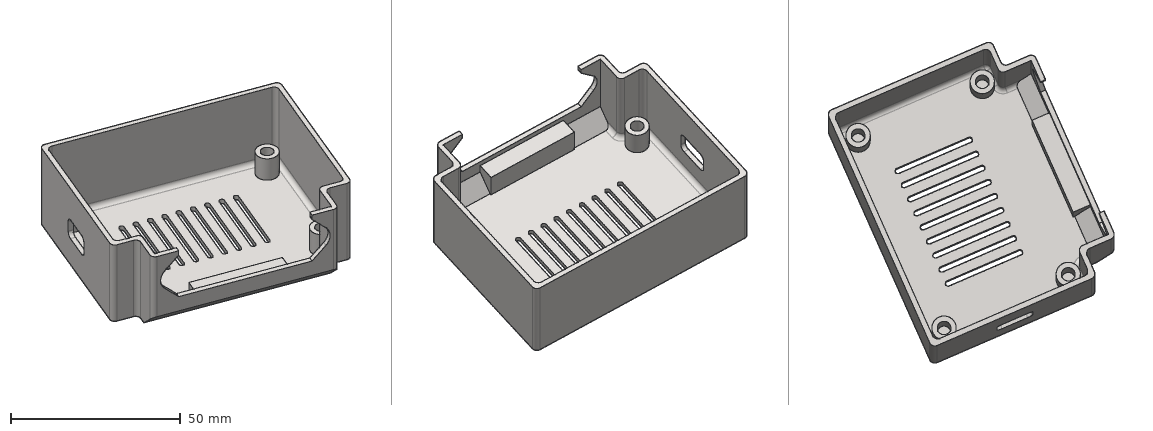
import cadquery as cq
import math

LENGTH_X = 63.0
WIDTH_Y = 77.2
HEIGHT = 28.4
BODY_X = 53.0
BAY_WIDTH = 60.1
WALL = 1.6
FLOOR = WALL
CORNER_RADIUS = 1.6
FLOOR_FILLET = 1.6
BAY_CHAMFER = 6.0

POST_DIAMETER = 7.2
POST_BORE = 4.0
POST_TOP = 9.6
POST_INSET_X = 7.0
POST_INSET_Y = 7.1
POST_PITCH_X = 40.0

BAR_LENGTH = 30.1
BAR_DEPTH = 5.55
BAR_TOP = POST_TOP

SLOT_COUNT = 9
SLOT_LENGTH = 24.7
SLOT_WIDTH = 1.6
SLOT_SPAN = 36.8
SLOT_CENTRE_X = 25.6

WINDOW_WIDTH = 11.5
WINDOW_HEIGHT = 6.95
WINDOW_RADIUS = 1.6
WINDOW_CENTRE_X = 26.7
WINDOW_CENTRE_Z = 13.2

CUTOUT_NECK_WIDTH = 42.9
CUTOUT_BOTTOM = 11.35
CUTOUT_FLANK = 7.7
CUTOUT_RADIUS = 4.6


def stepped_prism(inset, base_z):
    """Prism over the stepped outline, offset inwards by inset, from base_z to the rim."""
    x_min = inset
    x_step = BODY_X - inset
    x_max = LENGTH_X - inset
    y_body = WIDTH_Y / 2 - inset
    y_bay = BAY_WIDTH / 2 - inset
    outline = [
        (x_min, -y_body),
        (x_step, -y_body),
        (x_step, -y_bay),
        (x_max, -y_bay),
        (x_max, y_bay),
        (x_step, y_bay),
        (x_step, y_body),
        (x_min, y_body),
    ]
    return cq.Workplane("XY").workplane(offset=base_z).polyline(outline).close().extrude(HEIGHT - base_z)


def below_slope(chamfer, inset, base_z):
    """Wedge under the 45 degree slope at the lower +X edge of a stepped prism."""
    x_wall = LENGTH_X - inset
    return (
        cq.Workplane("XZ")
        .polyline([(x_wall - chamfer, base_z), (x_wall, base_z), (x_wall, base_z + chamfer)])
        .close()
        .extrude(WIDTH_Y / 2, both=True)
    )


def make_shell():
    outer = stepped_prism(0, 0).edges("|Z").fillet(CORNER_RADIUS)
    outer = outer.cut(below_slope(BAY_CHAMFER, 0, 0))

    cavity = stepped_prism(WALL, FLOOR)
    cavity = cavity.edges("|Z").edges("not(>X)").fillet(CORNER_RADIUS)
    cavity = cavity.faces("<Z").edges("not(>X)").fillet(FLOOR_FILLET)

    inner_chamfer = BAY_CHAMFER - WALL * (2 - math.sqrt(2))
    cavity = cavity.cut(below_slope(inner_chamfer, WALL, FLOOR))
    return outer.cut(cavity)


def on_posts(diameter, base_z, top_z):
    """Four cylinders on the post centres."""
    y_post = WIDTH_Y / 2 - POST_INSET_Y
    x_positions = (POST_INSET_X, POST_INSET_X + POST_PITCH_X)
    centres = [(x, y) for x in x_positions for y in (-y_post, y_post)]
    return (
        cq.Workplane("XY")
        .workplane(offset=base_z)
        .pushPoints(centres)
        .circle(diameter / 2)
        .extrude(top_z - base_z)
    )


def make_bar():
    x_wall = LENGTH_X - WALL
    depth = BAR_DEPTH + WALL / 2
    bar = cq.Workplane("XY").box(depth, BAR_LENGTH, BAR_TOP, centered=(False, True, False))
    bar = bar.translate((x_wall - BAR_DEPTH, 0, 0))
    return bar.cut(below_slope(BAY_CHAMFER, 0, 0))


def make_slots():
    return (
        cq.Workplane("XY")
        .center(SLOT_CENTRE_X, 0)
        .rarray(0.8, SLOT_SPAN / (SLOT_COUNT - 1), 1, SLOT_COUNT)
        .slot2D(SLOT_LENGTH, SLOT_WIDTH)
        .extrude(FLOOR)
    )


def make_window():
    return (
        cq.Workplane("XY")
        .box(WINDOW_WIDTH, 2 * WALL, WINDOW_HEIGHT)
        .edges("|Y")
        .fillet(WINDOW_RADIUS)
        .translate((WINDOW_CENTRE_X, -WIDTH_Y / 2, WINDOW_CENTRE_Z))
    )


def make_wall_cutout():
    neck = CUTOUT_NECK_WIDTH / 2
    tip = neck + CUTOUT_FLANK
    tip_z = CUTOUT_BOTTOM + CUTOUT_FLANK
    top_z = tip_z + CUTOUT_FLANK
    outline = [
        (-neck, CUTOUT_BOTTOM),
        (neck, CUTOUT_BOTTOM),
        (tip, tip_z),
        (neck, top_z),
        (-neck, top_z),
        (-tip, tip_z),
    ]
    inner_face = cq.Workplane("YZ").workplane(offset=LENGTH_X - WALL)
    hexagon = inner_face.polyline(outline).close().extrude(WALL)
    hexagon = hexagon.edges("|X").edges("<Y or >Y").fillet(CUTOUT_RADIUS)
    opening = cq.Workplane("XY").box(WALL, CUTOUT_NECK_WIDTH, HEIGHT - tip_z, centered=(False, True, False))
    return hexagon.union(opening.translate((LENGTH_X - WALL, 0, tip_z)))


result = (
    make_shell()
    .union(make_bar())
    .union(on_posts(POST_DIAMETER, FLOOR / 2, POST_TOP))
    .cut(on_posts(POST_BORE, FLOOR, POST_TOP))
    .cut(make_slots())
    .cut(make_window())
    .cut(make_wall_cutout())
)